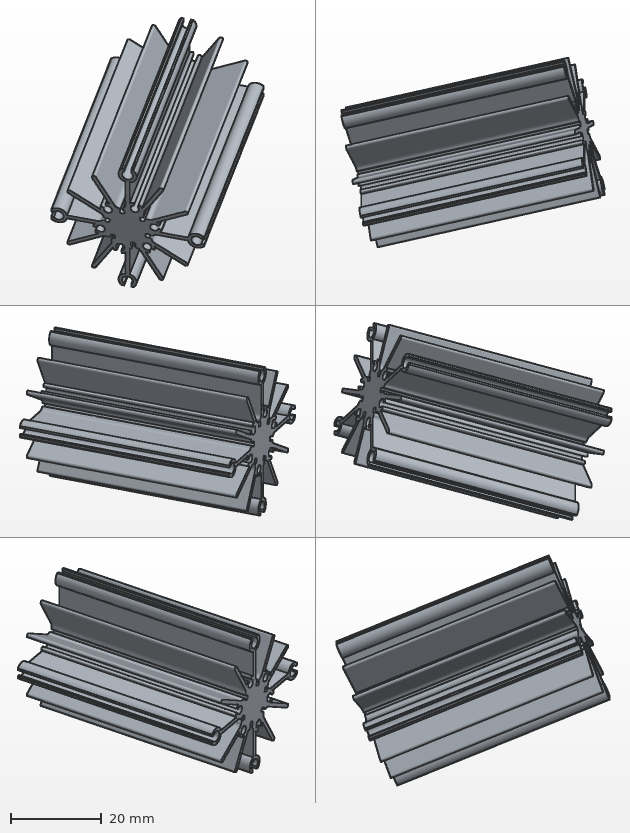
import cadquery as cq
import math

LENGTH = 50.8
OUTER_WIDTH = 34.95

FIN_COUNT = 12
FIN_THICKNESS = 0.95
FIN_REACH = 15.85
CLIP_FIN_STEP = 3
FIN_PITCH = 360 / FIN_COUNT

CLIP_OUTER_RADIUS = 2.1
CLIP_BORE_RADIUS = 1.25
CLIP_MOUTH = 1.6

LARGE_SOCKET_DISTANCE = 6.35
LARGE_SOCKET_RADIUS = 0.95
LARGE_SOCKET_WALL = 0.8
LARGE_HALF_OPENING = 25
LARGE_LIP_ROUNDING = 0.15
SMALL_SOCKET_DISTANCE = 4.8
SMALL_SOCKET_RADIUS = 0.55
SMALL_SOCKET_WALL = 0.75
SMALL_HALF_OPENING = 27
SMALL_LIP_ROUNDING = 0.15
SMALL_LIP_FILLET = 1.2
SOCKET_PITCH = 2 * FIN_PITCH
LARGE_SOCKET_START = FIN_PITCH / 2
SMALL_SOCKET_START = LARGE_SOCKET_START + FIN_PITCH

HUB_RADIUS = 5.2


def bar(profile):
    """Extrude a profile in the XZ plane along the full length, centred on Y."""
    return profile.extrude(LENGTH / 2, both=True)


def cylinder(x, z, radius):
    return bar(cq.Workplane("XZ").center(x, z).circle(radius))


def slab(x_start, x_end, thickness):
    """Plate lying along +X, centred on Z = 0."""
    centre = (x_start + x_end) / 2
    return bar(cq.Workplane("XZ").center(centre, 0).rect(x_end - x_start, thickness))


def turned(body, angle):
    """Turn a body about the Y axis, from +X towards +Z for a positive angle."""
    return body.rotate((0, 0, 0), (0, 1, 0), -angle)


def plain_fin():
    """Fin along +X with a rounded tip."""
    tip_radius = FIN_THICKNESS / 2
    tip_centre = FIN_REACH - tip_radius
    return slab(0, tip_centre, FIN_THICKNESS).union(cylinder(tip_centre, 0, tip_radius))


def clip_fin():
    """Fin along +X ending in a C-shaped clip with a flat, slotted outer face."""
    clip_end = OUTER_WIDTH / 2
    clip_limit = slab(0, clip_end, 2 * CLIP_OUTER_RADIUS)
    ring = cylinder(FIN_REACH, 0, CLIP_OUTER_RADIUS).intersect(clip_limit)
    mouth = slab(FIN_REACH, clip_end, CLIP_MOUTH)
    bore = cylinder(FIN_REACH, 0, CLIP_BORE_RADIUS)
    stem = slab(0, FIN_REACH, FIN_THICKNESS)
    return stem.union(ring).cut(bore).cut(mouth)


def socket_wall(distance, radius, thickness, half_opening, rounding):
    """C-shaped socket wall on +X, open outwards, with rounded lip corners."""
    outer_radius = radius + thickness
    wedge_length = 2 * outer_radius
    wedge_rise = wedge_length * math.tan(math.radians(half_opening))
    opening = bar(
        cq.Workplane("XZ")
        .moveTo(distance, 0)
        .lineTo(distance + wedge_length, wedge_rise)
        .lineTo(distance + wedge_length, -wedge_rise)
        .close()
    )
    ring = cylinder(distance, 0, outer_radius).cut(cylinder(distance, 0, radius))
    lip_corners = cq.selectors.BoxSelector(
        (distance, -LENGTH, -outer_radius), (distance + wedge_length, LENGTH, outer_radius)
    )
    return ring.cut(opening).edges("|Y").edges(lip_corners).fillet(rounding)


def lip_fillet(side):
    """Concave fillet between a small-socket lip and the fin on one side (+1 or -1) of that socket.

    It is laid out along a fin on +X and then turned to its place beside a socket on +X.
    """
    fin_angle = FIN_PITCH / 2
    outer_radius = SMALL_SOCKET_RADIUS + SMALL_SOCKET_WALL
    corner_distance = outer_radius - SMALL_LIP_ROUNDING
    corner_offset = math.degrees(math.asin(SMALL_LIP_ROUNDING / corner_distance))
    corner_angle = math.radians(fin_angle - SMALL_HALF_OPENING - corner_offset)
    socket_angle = math.radians(fin_angle)
    socket_x = SMALL_SOCKET_DISTANCE * math.cos(socket_angle)
    socket_z = SMALL_SOCKET_DISTANCE * math.sin(socket_angle)
    corner_x = socket_x + corner_distance * math.cos(corner_angle)
    corner_z = socket_z + corner_distance * math.sin(corner_angle)
    fillet_z = FIN_THICKNESS / 2 + SMALL_LIP_FILLET
    centre_spacing = SMALL_LIP_ROUNDING + SMALL_LIP_FILLET
    fillet_x = corner_x + math.sqrt(centre_spacing**2 - (fillet_z - corner_z) ** 2)

    web_points = [
        (socket_x, 0),
        (socket_x, socket_z),
        (corner_x, corner_z),
        (fillet_x, fillet_z),
        (fillet_x, 0),
    ]
    mirrored_points = [(x, -side * z) for x, z in web_points]
    web = bar(cq.Workplane("XZ").polyline(mirrored_points).close())
    web = web.cut(cylinder(fillet_x, -side * fillet_z, SMALL_LIP_FILLET))
    return turned(web, side * fin_angle)


def add_sockets(body, wall, bore, start_angle):
    """Add one set of evenly spaced socket walls to the body and bore the sockets out."""
    for index in range(FIN_COUNT // 2):
        angle = start_angle + index * SOCKET_PITCH
        body = body.union(turned(wall, angle)).cut(turned(bore, angle))
    return body


def add_large_sockets(body):
    wall = socket_wall(
        LARGE_SOCKET_DISTANCE,
        LARGE_SOCKET_RADIUS,
        LARGE_SOCKET_WALL,
        LARGE_HALF_OPENING,
        LARGE_LIP_ROUNDING,
    )
    bore = cylinder(LARGE_SOCKET_DISTANCE, 0, LARGE_SOCKET_RADIUS)
    return add_sockets(body, wall, bore, LARGE_SOCKET_START)


def add_small_sockets(body):
    wall = socket_wall(
        SMALL_SOCKET_DISTANCE,
        SMALL_SOCKET_RADIUS,
        SMALL_SOCKET_WALL,
        SMALL_HALF_OPENING,
        SMALL_LIP_ROUNDING,
    )
    wall = wall.union(lip_fillet(1)).union(lip_fillet(-1))
    bore = cylinder(SMALL_SOCKET_DISTANCE, 0, SMALL_SOCKET_RADIUS)
    return add_sockets(body, wall, bore, SMALL_SOCKET_START)


def heat_sink():
    body = cylinder(0, 0, HUB_RADIUS)
    for index in range(FIN_COUNT):
        fin = clip_fin() if index % CLIP_FIN_STEP == 0 else plain_fin()
        body = body.union(turned(fin, index * FIN_PITCH))
    return add_small_sockets(add_large_sockets(body))


result = heat_sink()